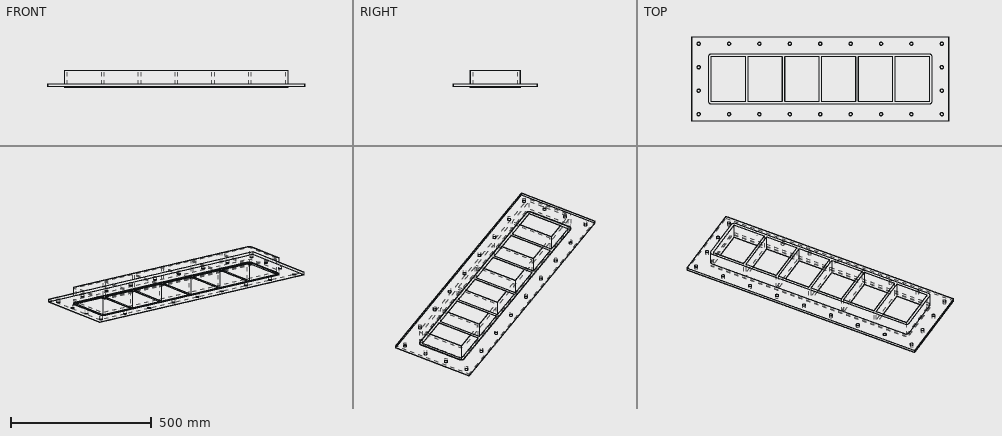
import cadquery as cq

plate_length = 913.0
plate_width = 299.5
plate_thickness = 10.0

frame_length = 794.0
frame_width = 179.0
frame_height = 60.0
frame_corner_radius = 11.0
wall_thickness = 10.0
frame_below_plate = 3.0

window_count = 6
bar_thickness = 9.0

hole_diameter = 11.0
hole_edge_distance = 25.0
holes_along_length = 9
holes_along_width = 4

opening_length = frame_length - 2 * wall_thickness
window_length = (opening_length - (window_count - 1) * bar_thickness) / window_count
window_width = frame_width - 2 * wall_thickness
window_pitch = window_length + bar_thickness
hole_span_x = plate_length - 2 * hole_edge_distance
hole_span_y = plate_width - 2 * hole_edge_distance


def make_plate():
    """Flat flange with bolt holes along all four edges."""
    plate = cq.Workplane("XY").box(
        plate_length, plate_width, plate_thickness, centered=(True, True, False)
    )
    hole_pitch_x = hole_span_x / (holes_along_length - 1)
    hole_pitch_y = hole_span_y / (holes_along_width - 1)
    long_edge_rows = cq.Workplane("XY").rarray(hole_pitch_x, hole_span_y, holes_along_length, 2)
    short_edge_rows = cq.Workplane("XY").rarray(hole_span_x, hole_pitch_y, 2, holes_along_width - 2)
    for row in (long_edge_rows, short_edge_rows):
        plate = plate.cut(row.circle(hole_diameter / 2).extrude(plate_thickness))
    return plate.translate((0, 0, frame_below_plate))


def make_frame():
    """Solid block with rounded upright corners."""
    frame = cq.Workplane("XY").box(
        frame_length, frame_width, frame_height, centered=(True, True, False)
    )
    return frame.edges("|Z").fillet(frame_corner_radius)


def make_windows():
    """Row of rectangular openings through the full height."""
    return (
        cq.Workplane("XY")
        .rarray(window_pitch, 9, window_count, 1)
        .rect(window_length, window_width)
        .extrude(frame_height)
    )


result = make_plate().union(make_frame()).cut(make_windows())